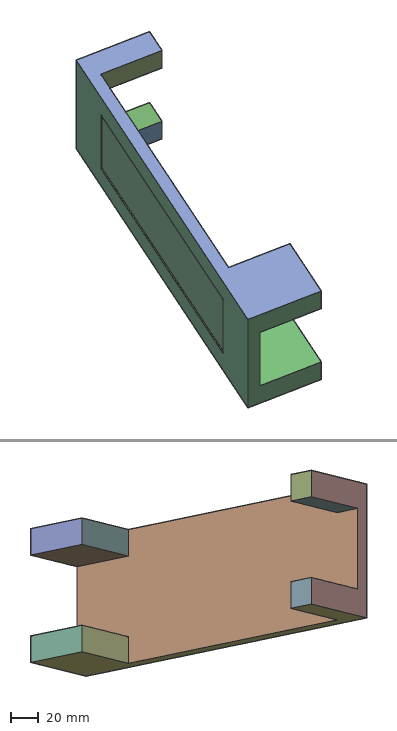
import cadquery as cq

length = 276.0
depth = 60.0
height = 100.0
plate_thickness = 10.0
leg_height = 20.0
left_leg_width = 20.1
right_leg_width = 50.5
panel_length = 196.0
panel_height = 60.7
panel_recess = 1.0

plate = cq.Workplane("XY").box(length, plate_thickness, height, centered=(True, False, True))


def leg(width, x_side, z_side):
    """Bar reaching back from one corner of the plate; the sides are -1 or +1."""
    x_center = x_side * (length - width) / 2
    z_center = z_side * (height - leg_height) / 2
    bar = cq.Workplane("XY").box(width, depth, leg_height, centered=(True, False, True))
    return bar.translate((x_center, 0, z_center))


body = plate
for z_side in (-1, 1):
    body = body.union(leg(left_leg_width, -1, z_side))
    body = body.union(leg(right_leg_width, 1, z_side))

recess = cq.Workplane("XY").box(
    panel_length, panel_recess, panel_height, centered=(True, False, True)
)
result = body.cut(recess)